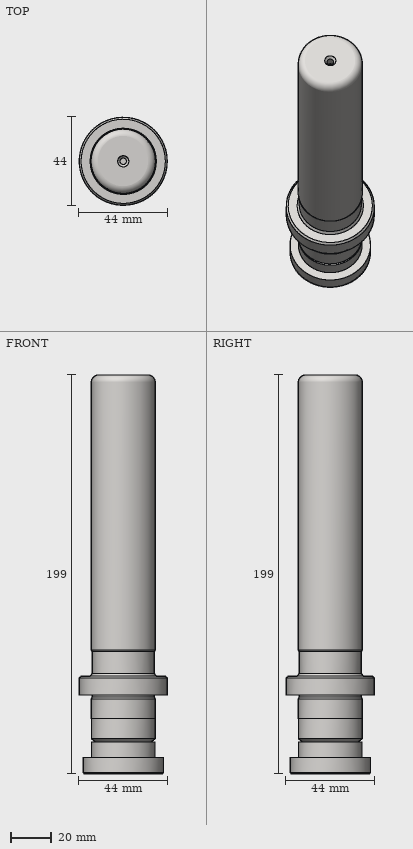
import cadquery as cq

total_length = 199.0

cap_flange_radius = 20.0
cap_flange_height = 8.2
cap_edge_chamfer = 0.5
cap_neck_radius = 16.0
cap_height = 16.0

shaft_radius = 16.02
end_chamfer_height = 1.5
end_chamfer_width = 2.0
fit_seam_z = 27.5
fit_clearance = 0.04
collar_bottom_z = 39.2
collar_top_z = 48.8
collar_radius = 21.99
collar_chamfer = 1.0
undercut_radius = 15.5
undercut_height = 1.8
undercut_taper_height = 0.8
root_width = 1.0
root_height = 1.4
relief_top_z = 61.7
relief_edge_height = 0.8

nose_height = 3.4
nose_flat_radius = 12.5
nose_bulge = 0.5
countersink_radius = 2.8
countersink_depth = 1.2
drill_radius = 1.5
drill_depth = 6.0


def make_cap():
    """Flanged disc whose neck butts against the lower end of the pillar."""
    neck_height = cap_height - cap_flange_height
    flange = (
        cq.Workplane("XY")
        .circle(cap_flange_radius)
        .extrude(cap_flange_height)
        .faces("<Z")
        .edges()
        .chamfer(cap_edge_chamfer)
    )
    return flange.faces(">Z").workplane().circle(cap_neck_radius).extrude(neck_height)


def make_pillar_blank():
    """Turned pillar: fitted end, collar, relieved neck and long guiding shaft."""
    fit_radius = shaft_radius - fit_clearance
    nose_z = total_length - nose_height
    nose_middle = (
        (shaft_radius + nose_flat_radius) / 2 + nose_bulge,
        total_length - nose_height / 2 + nose_bulge,
    )
    return (
        cq.Workplane("XZ")
        .moveTo(0, cap_height)
        .lineTo(fit_radius - end_chamfer_width, cap_height)
        .lineTo(fit_radius, cap_height + end_chamfer_height)
        .lineTo(fit_radius, fit_seam_z)
        .lineTo(shaft_radius, fit_seam_z)
        .lineTo(shaft_radius, collar_bottom_z - undercut_height)
        .lineTo(undercut_radius, collar_bottom_z - undercut_height + undercut_taper_height)
        .lineTo(undercut_radius, collar_bottom_z)
        .lineTo(collar_radius, collar_bottom_z)
        .lineTo(collar_radius, collar_top_z - collar_chamfer)
        .lineTo(collar_radius - collar_chamfer, collar_top_z)
        .lineTo(undercut_radius + root_width, collar_top_z)
        .lineTo(undercut_radius, collar_top_z + root_height)
        .lineTo(undercut_radius, relief_top_z - relief_edge_height)
        .lineTo(shaft_radius, relief_top_z)
        .lineTo(shaft_radius, nose_z)
        .threePointArc(nose_middle, (nose_flat_radius, total_length))
        .lineTo(0, total_length)
        .close()
        .revolve(360, (0, 0, 0), (0, 1, 0))
    )


def make_centre_hole():
    """Countersunk blind centre hole running down from the top face."""
    return (
        cq.Workplane("XZ")
        .moveTo(0, total_length)
        .lineTo(countersink_radius, total_length)
        .lineTo(drill_radius, total_length - countersink_depth)
        .lineTo(drill_radius, total_length - drill_depth)
        .lineTo(0, total_length - drill_depth)
        .close()
        .revolve(360, (0, 0, 0), (0, 1, 0))
    )


cap = make_cap()
pillar = make_pillar_blank().cut(make_centre_hole())

result = cq.Compound.makeCompound([pillar.val(), cap.val()])